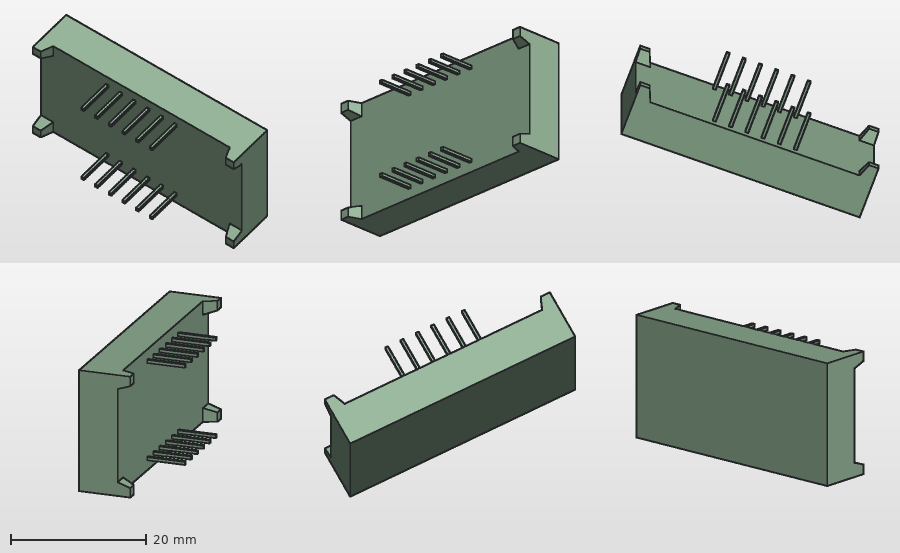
import cadquery as cq

length = 37.6
height = 19.0
total_depth = 12.1
pin_length = 5.98
body_depth = total_depth - pin_length

foot_height = 2.0
foot_base_x = 2.3
foot_base_z = 2.18
foot_tip = 1.5

pin_size = 0.5
pin_pitch = 2.55
pins_per_row = 6
row_count = 2
row_spacing = 15.25


def make_body():
    """Plain block with its pin face on the plane Y = 0."""
    return cq.Workplane("XY").box(length, body_depth, height, centered=(True, False, True))


def make_pins():
    """Both rows of pins, standing on the pin face."""
    return (
        cq.Workplane("XZ")
        .rarray(pin_pitch, row_spacing, pins_per_row, row_count)
        .rect(pin_size, pin_size)
        .extrude(pin_length)
    )


def corner_rectangle(size_x, size_z):
    """Points of a rectangle that starts at the origin and spans the signed sizes."""
    return [(0, 0), (size_x, 0), (size_x, size_z), (0, size_z)]


def make_foot(side_x, side_z):
    """Tapered foot in the corner given by the signs side_x and side_z."""
    return (
        cq.Workplane("XZ")
        .center(side_x * length / 2, side_z * height / 2)
        .polyline(corner_rectangle(-side_x * foot_base_x, -side_z * foot_base_z))
        .close()
        .workplane(offset=foot_height)
        .polyline(corner_rectangle(-side_x * foot_tip, -side_z * foot_tip))
        .close()
        .loft(ruled=True)
    )


result = make_body().union(make_pins())
for side_x in (-1, 1):
    for side_z in (-1, 1):
        result = result.union(make_foot(side_x, side_z))